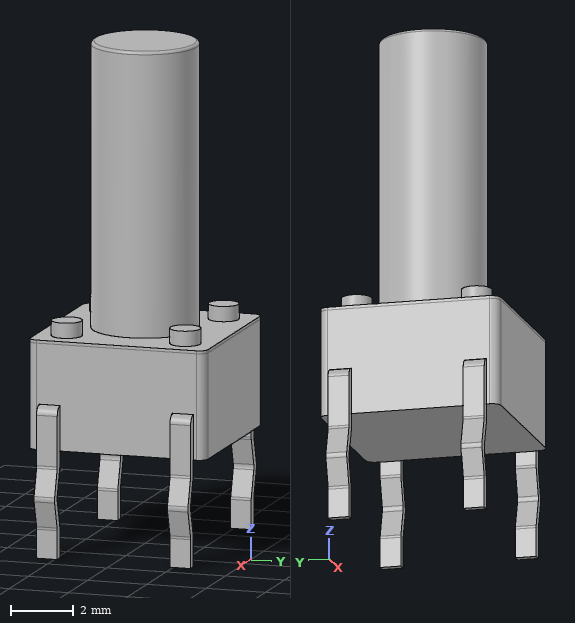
import cadquery as cq
import math

housing_width = 6.0
corner_radius = 0.3
base_height = 3.5
cover_thickness = 0.1
housing_top = base_height + cover_thickness

button_diameter = 3.5
button_top = 13.0
button_rim_radius = 0.1

stud_diameter = 1.0
stud_height = 0.5
stud_spacing = 4.0

lead_thickness = 0.3
lead_width = 0.7
lead_pitch = 4.5
lead_top = 1.5
lead_bottom = -3.5
kink_start = -0.5
kink_peak = -1.5
kink_end = -2.5
kink_offset = 0.3
bend_radius = 0.3


def make_layer(bottom, thickness):
    """Square layer of the housing with rounded vertical corners."""
    layer = cq.Workplane("XY").workplane(offset=bottom).rect(housing_width, housing_width)
    return layer.extrude(thickness).edges("|Z").fillet(corner_radius)


def make_housing():
    """Base and flush cover layer in one solid; their side faces still meet at a line."""
    base = make_layer(0, base_height)
    cover = make_layer(base_height, cover_thickness)
    return base.union(cover, clean=False)


def make_button():
    """Round plunger standing on the housing, with a softened top rim."""
    button = cq.Workplane("XY").workplane(offset=housing_top).circle(button_diameter / 2)
    return button.extrude(button_top - housing_top).faces(">Z").edges().fillet(button_rim_radius)


def make_stud(x, y):
    """Short round stud standing on the housing."""
    stud = cq.Workplane("XY").workplane(offset=housing_top).center(x, y)
    return stud.circle(stud_diameter / 2).extrude(stud_height)


def make_lead(side, y):
    """Flat lead with an outward kink and a rounded top; side is -1 for -X and +1 for +X."""
    inner = housing_width / 2
    outer = inner + lead_thickness
    shoulder = lead_top - lead_thickness
    arc_middle_offset = lead_thickness * math.cos(math.radians(45))
    lead = (
        cq.Workplane("XZ", origin=(0, y + lead_width / 2, 0))
        .moveTo(inner, lead_top)
        .threePointArc(
            (inner + arc_middle_offset, shoulder + arc_middle_offset),
            (outer, shoulder),
        )
        .lineTo(outer, kink_start)
        .lineTo(outer + kink_offset, kink_peak)
        .lineTo(outer, kink_end)
        .lineTo(outer, lead_bottom)
        .lineTo(inner, lead_bottom)
        .lineTo(inner, kink_end)
        .lineTo(inner + kink_offset, kink_peak)
        .lineTo(inner, kink_start)
        .close()
        .extrude(lead_width)
    )

    bend_edges = cq.selectors.BoxSelector(
        (inner - lead_thickness, y - lead_width, kink_end - bend_radius),
        (outer + kink_offset + lead_thickness, y + lead_width, kink_start + bend_radius),
    )
    lead = lead.edges("|Y").edges(bend_edges).fillet(bend_radius)
    return lead if side > 0 else lead.mirror("YZ")


housing = make_housing()
button = make_button()

studs = []
leads = []
for side in (-1, 1):
    for row in (-1, 1):
        studs.append(make_stud(side * stud_spacing / 2, row * stud_spacing / 2))
        leads.append(make_lead(side, row * lead_pitch / 2))

bodies = [housing, button, *studs, *leads]
result = cq.Compound.makeCompound([body.val() for body in bodies])